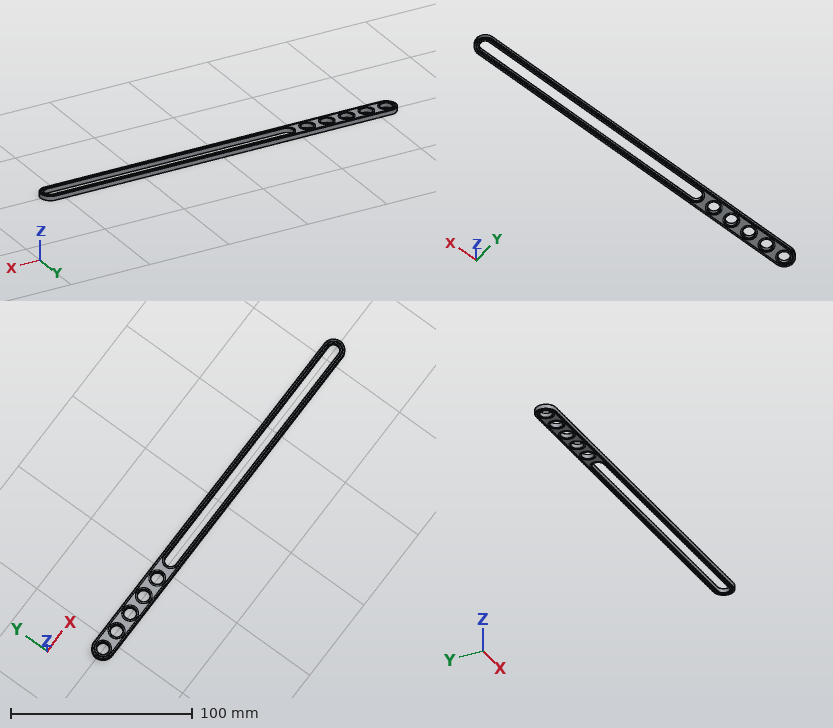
import cadquery as cq

length = 225.0
module_count = 18
hole_count = 5
hole_diameter = 7.0
collar_diameter = 9.2
bevel = 0.32
pocket_depth = 0.2

module = length / module_count
width = module
thickness = module / 4
rim_width = (collar_diameter - hole_diameter) / 2
first_hole_x = -length / 2 + module / 2
slot_start_x = first_hole_x + hole_count * module
slot_end_x = length / 2 - module / 2
hole_centres = [(first_hole_x + i * module, 0) for i in range(hole_count)]


def rounded_bar(bar_length, bar_width, height):
    """Bar with full-round ends, centred on the origin."""
    return cq.Workplane("XY").slot2D(bar_length, bar_width).extrude(height / 2, both=True)


def holes_and_slot(diameter):
    """Full-thickness solids on the hole and slot axes; diameter is also the slot width."""
    holes = (
        cq.Workplane("XY")
        .pushPoints(hole_centres)
        .circle(diameter / 2)
        .extrude(thickness / 2, both=True)
    )
    slot_length = slot_end_x - slot_start_x + diameter
    slot_centre_x = (slot_start_x + slot_end_x) / 2
    slot = rounded_bar(slot_length, diameter, thickness).translate((slot_centre_x, 0, 0))
    return holes.union(slot)


def make_bevelled_strap():
    """Strap with its openings, bevelled along every edge of the top and bottom faces."""
    strap = rounded_bar(length, width, thickness).cut(holes_and_slot(hole_diameter))
    return strap.faces("<Z or >Z").edges().chamfer(bevel)


def make_pockets():
    """Shallow recesses in both faces, between the outer rim and the collars of the openings."""
    inside_rim = rounded_bar(length - 2 * rim_width, width - 2 * rim_width, thickness)
    web = rounded_bar(length, width, thickness - 2 * pocket_depth)
    return inside_rim.cut(holes_and_slot(collar_diameter)).cut(web)


result = make_bevelled_strap().cut(make_pockets()).solids()